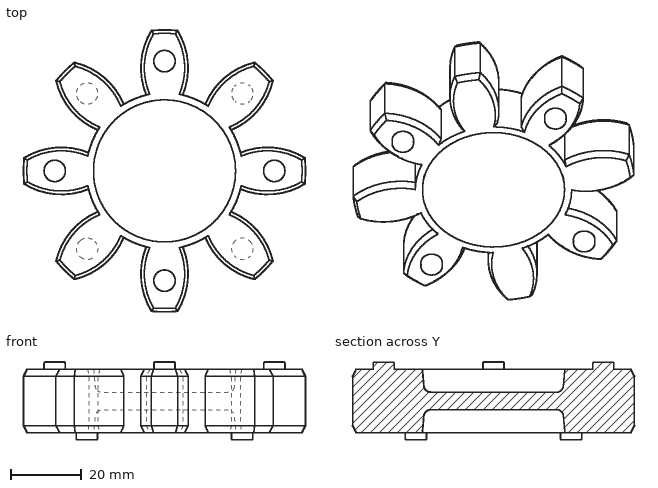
import cadquery as cq
import math

thickness = 18.0
overall_height = 22.0

hub_radius = 22.0
rim_radius = 20.0
wall_taper = 0.4
floor_fillet = 1.9
web_thickness = 5.0

tooth_count = 8
tip_radius = 39.75
tooth_half_width = 6.7
flank_radius = 20.0
flank_centre_x = 29.0
tooth_root_x = 19.1
chamfer_height = 2.0
chamfer_inset = chamfer_height / 2

stud_radius = 3.0
stud_distance = 30.9
stud_fillet = 0.5

half_thickness = thickness / 2
flank_offset = flank_radius - tooth_half_width
tooth_angle = 360 / tooth_count
origin = (0, 0, 0)
axis_end = (0, 0, 1)


def flank_half_width(x):
    """Half width of a tooth at distance x from the hub axis."""
    return math.sqrt(flank_radius**2 - (x - flank_centre_x) ** 2) - flank_offset


def tip_corner():
    """Point where the +Y flank arc meets the tip cylinder."""
    centre_distance = math.hypot(flank_centre_x, flank_offset)
    along = (tip_radius**2 - flank_radius**2 + centre_distance**2) / (2 * centre_distance)
    across = math.sqrt(tip_radius**2 - along**2)
    direction_x = flank_centre_x / centre_distance
    direction_y = -flank_offset / centre_distance
    corner_x = along * direction_x - across * direction_y
    corner_y = along * direction_y + across * direction_x
    return corner_x, corner_y


def tooth_outline(z):
    """Barrel-shaped tooth outline along +X at height z."""
    root_y = flank_half_width(tooth_root_x)
    tip_x, tip_y = tip_corner()
    return (
        cq.Workplane("XY", origin=(0, 0, z))
        .moveTo(tooth_root_x, -root_y)
        .threePointArc((flank_centre_x, -tooth_half_width), (tip_x, -tip_y))
        .threePointArc((tip_radius, 0), (tip_x, tip_y))
        .threePointArc((flank_centre_x, tooth_half_width), (tooth_root_x, root_y))
        .close()
    )


def make_tooth():
    """Tooth along +X: straight in the middle, chamfered at the top and bottom."""
    straight_height = half_thickness - chamfer_height
    chamfer_angle = math.degrees(math.atan2(chamfer_inset, chamfer_height))
    body = tooth_outline(0).extrude(straight_height)
    chamfered_end = tooth_outline(straight_height).extrude(chamfer_height, taper=chamfer_angle)
    upper_half = body.union(chamfered_end)
    return upper_half.union(upper_half.mirror("XY"))


def make_stud():
    """Round stud standing on the top of the tooth along +X."""
    return (
        cq.Workplane("XY", origin=(stud_distance, 0, 0))
        .circle(stud_radius)
        .extrude(overall_height / 2)
        .faces(">Z")
        .edges()
        .fillet(stud_fillet)
    )


def make_pocket():
    """Tapered round pocket in the top of the hub with a rounded floor edge."""
    floor_z = web_thickness / 2
    fillet_top_z = floor_z + floor_fillet
    wall_radius = rim_radius - wall_taper
    floor_radius = wall_radius - floor_fillet
    bend = floor_fillet * math.sqrt(0.5)
    return (
        cq.Workplane("XZ")
        .moveTo(0, floor_z)
        .lineTo(floor_radius, floor_z)
        .threePointArc((floor_radius + bend, fillet_top_z - bend), (wall_radius, fillet_top_z))
        .lineTo(rim_radius, half_thickness)
        .lineTo(0, half_thickness)
        .close()
        .revolve(360, (0, 0), (0, 1))
    )


tooth = make_tooth()
top_stud = make_stud()
bottom_stud = top_stud.mirror("XY")
pocket = make_pocket()

result = cq.Workplane("XY").circle(hub_radius).extrude(half_thickness, both=True)
for index in range(tooth_count):
    stud = bottom_stud if index % 2 else top_stud
    angle = index * tooth_angle
    result = result.union(tooth.rotate(origin, axis_end, angle))
    result = result.union(stud.rotate(origin, axis_end, angle))
result = result.cut(pocket).cut(pocket.mirror("XY"))